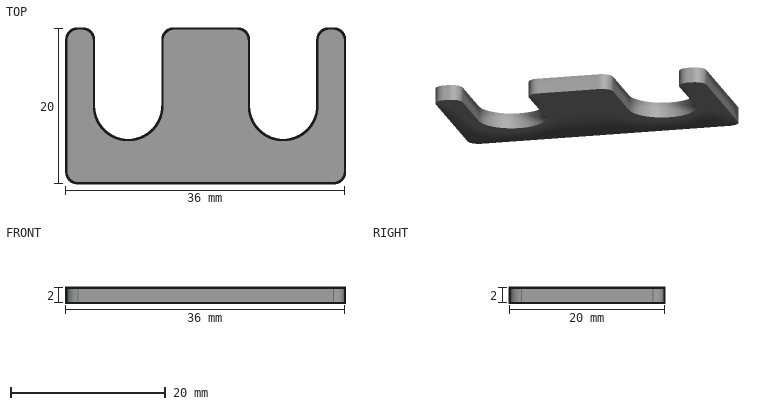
import cadquery as cq

length = 36.0
width = 20.0
thickness = 2.0
corner_radius = 1.5

slot_width = 8.8
slot_spacing = 20.0
slot_center_y = 0.0

slot_radius = slot_width / 2
open_edge_y = width / 2


def make_plate():
    """Flat rectangular plate centred on the Z axis, resting on Z = 0."""
    return cq.Workplane("XY").rect(length, width).extrude(thickness)


def make_slot(center_x):
    """Through cutter with a round inner end, reaching the +Y edge."""
    left = center_x - slot_radius
    right = center_x + slot_radius
    return (
        cq.Workplane("XY")
        .moveTo(left, open_edge_y)
        .lineTo(left, slot_center_y)
        .threePointArc((center_x, slot_center_y - slot_radius), (right, slot_center_y))
        .lineTo(right, open_edge_y)
        .close()
        .extrude(thickness)
    )


def round_corners(plate):
    """Round every upright corner edge on the +Y and -Y sides."""
    plate = plate.faces(">Y").edges("|Z").fillet(corner_radius)
    return plate.faces("<Y").edges("|Z").fillet(corner_radius)


result = make_plate()
for side in (-1, 1):
    result = result.cut(make_slot(side * slot_spacing / 2))
result = round_corners(result)